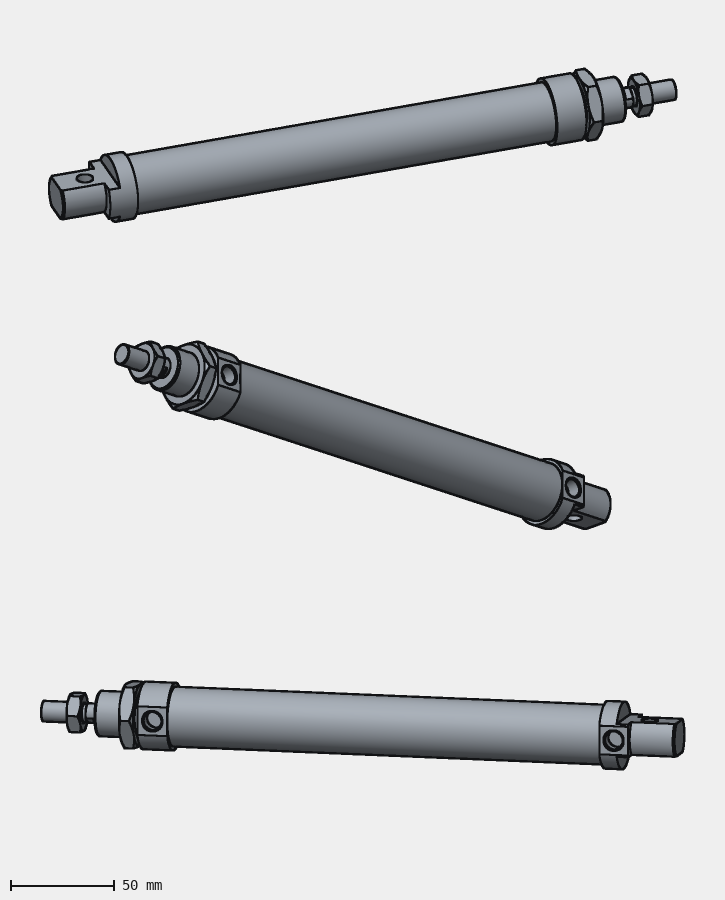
import cadquery as cq
import math


tongue_shoulder_y = 22.0
rear_cut_y = 27.8
rear_cap_front_y = 36.3
front_cap_rear_y = 251.0
front_cap_front_y = 265.8
mount_nut_y = 268.0
nose_front_y = 288.2
rod_shoulder_y = 294.0
rod_nut_y = 295.8
rod_tip_y = 316.0

cap_diameter = 33.0
barrel_diameter = 29.0
port_face_offset = 15.0
nose_diameter = 22.0
nose_neck_diameter = 20.5
end_chamfer = (nose_diameter - nose_neck_diameter) / 2
tongue_thickness = 16.0
pivot_hole_diameter = 8.0
pivot_hole_y = 15.0
port_diameter = 9.0
port_mouth_diameter = 10.0
port_depth = 8.0
port_chamfer = (port_mouth_diameter - port_diameter) / 2

rod_diameter = 10.0
rod_neck_diameter = 9.0
rod_tip_chamfer = 0.3
wrench_flat_width = 8.0
wrench_flat_length = 3.8
wrench_flat_angle = 30.0
rod_socket_depth = 6.3

mount_nut_width = 30.0
mount_nut_thickness = 7.0
rod_nut_width = 17.7
rod_nut_thickness = 6.5
nut_chamfer_angle = 30.0


def cylinder(diameter, start_y, end_y):
    """Cylinder on the Y axis between two stations."""
    base = cq.Workplane("XZ", origin=(0, start_y, 0))
    return base.circle(diameter / 2).extrude(start_y - end_y)


def axial_box(width_x, width_z, start_y, end_y):
    """Box centred on the Y axis between two stations."""
    base = cq.Workplane("XZ", origin=(0, start_y, 0))
    return base.rect(width_x, width_z).extrude(start_y - end_y)


def cap(start_y, end_y):
    """Round end cap with one flat on the -X side for the port."""
    port_flat = axial_box(cap_diameter, cap_diameter, start_y, end_y)
    port_flat = port_flat.translate((-port_face_offset - cap_diameter / 2, 0, 0))
    return cylinder(cap_diameter, start_y, end_y).cut(port_flat)


def port(center_y):
    """Blind port with a countersunk mouth, cutting in from the -X flat."""
    face = cq.Workplane("YZ", origin=(-port_face_offset, center_y, 0))
    bore = face.circle(port_diameter / 2).extrude(port_depth)
    mouth = face.circle(port_mouth_diameter / 2).workplane(offset=port_chamfer)
    return bore.union(mouth.circle(port_diameter / 2).loft())


def make_housing():
    """Barrel with both end caps, the threaded nose and the pivot tongue."""
    rear_cap = cap(tongue_shoulder_y, rear_cap_front_y)
    tongue = cylinder(nose_diameter, 0, tongue_shoulder_y).faces("<Y").chamfer(end_chamfer)
    rear = rear_cap.union(tongue)

    slab = axial_box(cap_diameter, tongue_thickness, 0, rear_cut_y)
    rear = rear.intersect(slab.union(cylinder(cap_diameter, rear_cut_y, rear_cap_front_y)))
    pivot_hole = cq.Workplane("XY", origin=(0, pivot_hole_y, 0)).circle(pivot_hole_diameter / 2)
    rear = rear.cut(pivot_hole.extrude(tongue_thickness / 2, both=True))

    barrel = cylinder(barrel_diameter, rear_cap_front_y, front_cap_rear_y)
    front_cap = cap(front_cap_rear_y, front_cap_front_y)
    nose = cylinder(nose_diameter, front_cap_front_y, nose_front_y).faces(">Y").chamfer(end_chamfer)
    housing = rear.union(barrel).union(front_cap).union(nose)

    for start_y, end_y in (
        (tongue_shoulder_y, rear_cap_front_y),
        (front_cap_rear_y, front_cap_front_y),
    ):
        housing = housing.cut(port((start_y + end_y) / 2))

    rod_socket = cylinder(rod_diameter, nose_front_y - rod_socket_depth, nose_front_y)
    return housing.cut(rod_socket)


def make_rod():
    """Piston rod with wrench flats, a neck behind the nut and a threaded tip."""
    flats_y = rod_shoulder_y - wrench_flat_length
    shank = cylinder(rod_diameter, nose_front_y - rod_socket_depth, flats_y)
    flats = cylinder(rod_diameter, flats_y, rod_shoulder_y).intersect(
        axial_box(rod_diameter, wrench_flat_width, flats_y, rod_shoulder_y).rotate(
            (0, 0, 0), (0, 1, 0), wrench_flat_angle
        )
    )
    neck = cylinder(rod_neck_diameter, rod_shoulder_y, rod_nut_y)
    tip = cylinder(rod_diameter, rod_nut_y, rod_tip_y).faces(">Y").chamfer(rod_tip_chamfer)
    return shank.union(flats).union(neck).union(tip)


def make_nut(width, thickness, bore_diameter, start_y):
    """Hexagonal nut with corners on the X axis and both ends chamfered."""
    corner_diameter = width / math.cos(math.pi / 6)
    bevel_width = (corner_diameter - width) / 2
    bevel_height = bevel_width * math.tan(math.radians(nut_chamfer_angle))
    end_y = start_y + thickness

    base = cq.Workplane("XZ", origin=(0, start_y, 0))
    hexagon = base.polygon(6, corner_diameter).extrude(-thickness)
    turned_blank = cylinder(corner_diameter, start_y, end_y).faces("<Y or >Y")
    turned_blank = turned_blank.chamfer(bevel_height, bevel_width)
    return hexagon.intersect(turned_blank).cut(cylinder(bore_diameter, start_y, end_y))


housing = make_housing()
rod = make_rod()
mount_nut = make_nut(mount_nut_width, mount_nut_thickness, nose_diameter, mount_nut_y)
rod_nut = make_nut(rod_nut_width, rod_nut_thickness, rod_diameter, rod_nut_y)

result = cq.Compound.makeCompound([housing.val(), rod.val(), mount_nut.val(), rod_nut.val()])